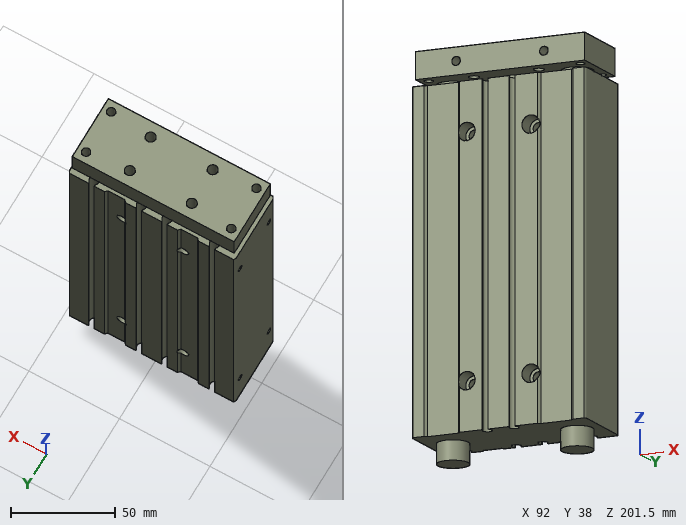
import cadquery as cq
import math

rod_tail = 10.0
housing_height = 173.7
plate_gap = 3.8
total_height = 201.5
housing_bottom = rod_tail
housing_top = housing_bottom + housing_height
housing_middle = housing_bottom + housing_height / 2
plate_bottom = housing_top + plate_gap
plate_height = total_height - plate_bottom

housing_width = 92.0
housing_depth = 38.0
corner_radius = 2.6
corner_rise = 1.91
front_y = -housing_depth / 2
back_y = housing_depth / 2

recess_depth = 1.2
front_recess_inner = 20.5
front_recess_outer = 39.3
back_recess_inner = 14.3
back_recess_outer = 26.0

slot_width = 3.2
slot_lip = 0.8
slot_channel_radius = 2.5
inner_slot_x = 7.0
outer_slot_x = 33.2

mount_x = 17.0
mount_pitch_z = 123.3
mount_diameter = 5.6
counterbore_diameter = 9.0
counterbore_depth = 9.0

side_hole_diameter = 3.2
side_hole_depth = 6.0
side_hole_y = 14.0
side_hole_pitch_z = 133.0

guide_rod_diameter = 16.1
guide_rod_x = 32.8
piston_rod_diameter = 12.0
piston_rod_end = housing_middle

plate_width = 89.5
plate_depth = 34.9
corner_hole_diameter = 4.5
corner_hole_x = 40.0
corner_hole_y = 12.0
inner_hole_diameter = 5.2
inner_hole_x = 17.1
inner_hole_y = 10.0
front_hole_diameter = 4.5
front_hole_x = 23.2
front_hole_depth = 8.0

drill_point_angle = 118.0


def mirrored(x, y):
    """The four points (+-x, +-y)."""
    return [(sx * x, sy * y) for sx in (-1, 1) for sy in (-1, 1)]


def vertical_cylinders(points, diameter, bottom, top):
    """Cylinders along Z between two heights, one at each XY point."""
    return cq.Workplane("XY", origin=(0, 0, bottom)).pushPoints(points).circle(diameter / 2).extrude(top - bottom)


def drilled_hole(start, direction, diameter, depth):
    """Blind hole with a conical drill point beyond its full-diameter depth."""
    radius = diameter / 2
    point_length = radius / math.tan(math.radians(drill_point_angle / 2))
    bore = cq.Solid.makeCylinder(radius, depth, start, direction)
    point = cq.Solid.makeCone(radius, 0, point_length, start + direction * depth, direction)
    return bore.fuse(point)


def recess(face_y, inner_x, outer_x):
    """Full-height recess that narrows toward its floor."""
    floor_y = face_y - math.copysign(recess_depth, face_y)
    outline = [
        (inner_x, face_y),
        (inner_x + recess_depth, floor_y),
        (outer_x - recess_depth, floor_y),
        (outer_x, face_y),
    ]
    return cq.Workplane("XY", origin=(0, 0, housing_bottom)).polyline(outline).close().extrude(housing_height)


def sensor_slot(face_y, x):
    """Full-height slot whose straight mouth opens into a wider round channel."""
    inward = -math.copysign(1, face_y)
    half_width = slot_width / 2
    lip_y = face_y + inward * slot_lip
    channel_center_y = lip_y + inward * math.sqrt(slot_channel_radius**2 - half_width**2)
    channel_bottom_y = channel_center_y + inward * slot_channel_radius
    return (
        cq.Workplane("XY", origin=(0, 0, housing_bottom))
        .moveTo(x - half_width, face_y)
        .lineTo(x - half_width, lip_y)
        .threePointArc((x, channel_bottom_y), (x + half_width, lip_y))
        .lineTo(x + half_width, face_y)
        .close()
        .extrude(housing_height)
    )


def housing_block():
    """Block whose corner arcs are tangent to the narrow sides and cut short by the wide faces."""
    base = cq.Workplane("XY", origin=(0, 0, housing_bottom))
    uncut_depth = housing_depth + 2 * (corner_radius - corner_rise)
    rounded = base.rect(housing_width, uncut_depth).extrude(housing_height).edges("|Z").fillet(corner_radius)
    return rounded.intersect(base.rect(housing_width, housing_depth).extrude(housing_height))


def make_housing():
    body = housing_block()

    grooves = [
        recess(front_y, front_recess_inner, front_recess_outer),
        recess(back_y, back_recess_inner, back_recess_outer),
        sensor_slot(front_y, inner_slot_x),
        sensor_slot(back_y, inner_slot_x),
        sensor_slot(back_y, outer_slot_x),
    ]
    for groove in grooves:
        body = body.cut(groove).cut(groove.mirror("YZ"))

    body = (
        cq.Workplane(body.val())
        .copyWorkplane(cq.Workplane("XZ", origin=(0, front_y, housing_middle)))
        .pushPoints(mirrored(mount_x, mount_pitch_z / 2))
        .cboreHole(mount_diameter, counterbore_diameter, counterbore_depth)
    )

    for y, z in mirrored(side_hole_y, side_hole_pitch_z / 2):
        start = cq.Vector(-housing_width / 2, y, housing_middle + z)
        body = body.cut(cq.Workplane(drilled_hole(start, cq.Vector(1, 0, 0), side_hole_diameter, side_hole_depth)))

    return body.cut(guide_rods()).cut(piston_rod())


def guide_rods():
    return vertical_cylinders([(-guide_rod_x, 0), (guide_rod_x, 0)], guide_rod_diameter, 0, plate_bottom)


def piston_rod():
    return vertical_cylinders([(0, 0)], piston_rod_diameter, piston_rod_end, plate_bottom)


def make_slide():
    """End plate carried by the two guide rods and the piston rod."""
    plate = cq.Workplane("XY", origin=(0, 0, plate_bottom)).rect(plate_width, plate_depth).extrude(plate_height)

    corner_points = mirrored(corner_hole_x, corner_hole_y)
    inner_points = mirrored(inner_hole_x, inner_hole_y)
    plate = plate.cut(vertical_cylinders(corner_points, corner_hole_diameter, plate_bottom, total_height))
    plate = plate.cut(vertical_cylinders(inner_points, inner_hole_diameter, plate_bottom, total_height))

    for x in (-front_hole_x, front_hole_x):
        start = cq.Vector(x, -plate_depth / 2, plate_bottom + plate_height / 2)
        plate = plate.cut(cq.Workplane(drilled_hole(start, cq.Vector(0, 1, 0), front_hole_diameter, front_hole_depth)))

    return plate.union(guide_rods()).union(piston_rod())


housing = make_housing()
slide = make_slide()

result = cq.Compound.makeCompound([*housing.vals(), *slide.vals()])